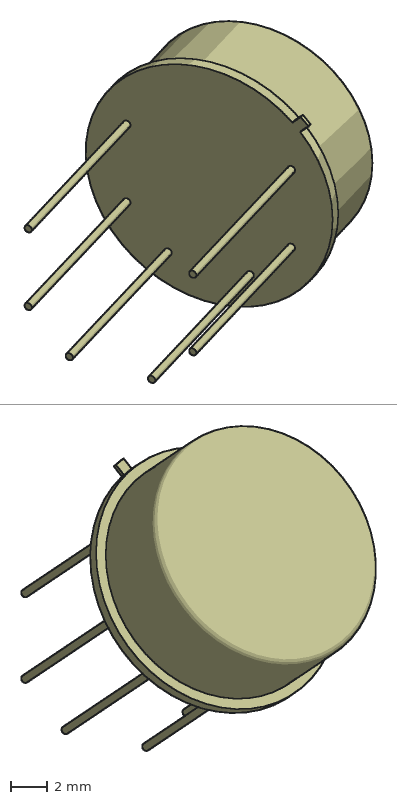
import cadquery as cq

overall_length = 18.4
lead_length = 12.0
header_diameter = 15.3
header_thickness = 0.68
can_diameter = 14.1
can_edge_radius = 0.48
can_height = overall_length - lead_length - header_thickness

lead_diameter = 0.46
lead_pitch = 5.1
half_pitch = lead_pitch / 2
lead_centres = [
    (side * x, z)
    for side in (-1, 1)
    for x, z in ((lead_pitch, half_pitch), (lead_pitch, -half_pitch), (half_pitch, -lead_pitch))
]

tab_width = 0.68
tab_reach = 8.37
tab_thickness = 0.25
tab_angle = 45.0


def make_can():
    """Round cap with a rounded outer rim, seated on the back of the header."""
    return (
        cq.Workplane("XZ", origin=(0, header_thickness, 0))
        .circle(can_diameter / 2)
        .extrude(-can_height)
        .faces(">Y")
        .edges()
        .fillet(can_edge_radius)
    )


def make_index_tab():
    """Radial bar, flush with the seating face, that marks the first lead."""
    return (
        cq.Workplane("XY")
        .box(tab_reach, tab_thickness, tab_width, centered=(False, False, True))
        .rotate((0, 0, 0), (0, 1, 0), -tab_angle)
    )


def make_leads():
    """Straight round leads standing out from the seating face."""
    return cq.Workplane("XZ").pushPoints(lead_centres).circle(lead_diameter / 2).extrude(lead_length)


def make_header():
    """Flange disc in one piece with its index tab and leads."""
    disc = cq.Workplane("XZ").circle(header_diameter / 2).extrude(-header_thickness)
    return disc.union(make_index_tab()).union(make_leads())


can = make_can()
header = make_header()

result = cq.Compound.makeCompound([can.val(), *header.solids().vals()])